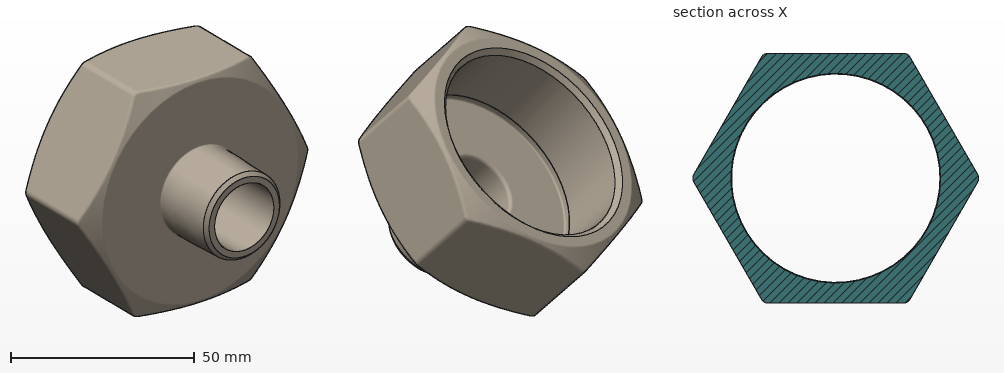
import cadquery as cq
import math

across_flats = 68.0
head_length = 31.0
corner_radius = 2.0
edge_radius = 1.0
bevel_angle = 30.0
bevel_face_diameter = 66.0

thread_bore_diameter = 56.66
relief_diameter = 56.86
mouth_diameter = 59.6
mouth_angle = 45.0
socket_depth = 24.75
relief_length = 2.0
floor_radius = 0.5
hole_diameter = 20.0
hole_edge_radius = 1.0

overall_length = 51.0
spigot_diameter = 26.75
root_radius = 0.4
taper_start = 36.5
taper_on_diameter = 1.0 / 16.0
tip_diameter = 23.75
tip_chamfer_length = 1.2


def revolve_about_x(profile):
    """Full revolution about X of a closed profile drawn as (x, radius)."""
    return profile.revolve(360, (0, 0, 0), (1, 0, 0))


def make_head():
    """Hexagonal prism, flats at top and bottom, with both ends bevelled."""
    corner_diameter = across_flats / math.cos(math.pi / 6)
    hexagon = cq.Workplane("YZ").polygon(6, corner_diameter).extrude(head_length)
    hexagon = hexagon.edges("|X").fillet(corner_radius)
    face_radius = bevel_face_diameter / 2
    rim_radius = corner_diameter / 2
    bevel_depth = (rim_radius - face_radius) * math.tan(math.radians(bevel_angle))
    bevel_profile = cq.Workplane("XY").polyline([
        (0, 0),
        (0, face_radius),
        (bevel_depth, rim_radius),
        (head_length - bevel_depth, rim_radius),
        (head_length, face_radius),
        (head_length, 0),
    ]).close()
    head = hexagon.intersect(revolve_about_x(bevel_profile))
    bevel_edges = head.edges("not |X")
    return bevel_edges.fillet(edge_radius)


def make_spigot():
    """Cylinder with a rounded root, then a pipe-thread taper and a chamfered tip."""
    spigot_radius = spigot_diameter / 2
    tip_start = overall_length - tip_chamfer_length
    taper_end_radius = spigot_radius - (tip_start - taper_start) * taper_on_diameter / 2
    profile = (
        cq.Workplane("XY")
        .moveTo(socket_depth, 0)
        .lineTo(socket_depth, spigot_radius + root_radius)
        .lineTo(head_length, spigot_radius + root_radius)
        .radiusArc((head_length + root_radius, spigot_radius), -root_radius)
        .lineTo(taper_start, spigot_radius)
        .lineTo(tip_start, taper_end_radius)
        .lineTo(overall_length, tip_diameter / 2)
        .lineTo(overall_length, 0)
        .close()
    )
    return revolve_about_x(profile)


def make_socket():
    """Cavity of the female socket: chamfered mouth, thread bore, undercut, rounded floor."""
    bore_radius = thread_bore_diameter / 2
    relief_radius = relief_diameter / 2
    mouth_depth = (mouth_diameter / 2 - bore_radius) / math.tan(math.radians(mouth_angle))
    relief_start = socket_depth - relief_length
    profile = (
        cq.Workplane("XY")
        .lineTo(0, mouth_diameter / 2)
        .lineTo(mouth_depth, bore_radius)
        .lineTo(relief_start, bore_radius)
        .lineTo(relief_start, relief_radius)
        .lineTo(socket_depth - floor_radius, relief_radius)
        .radiusArc((socket_depth, relief_radius - floor_radius), floor_radius)
        .lineTo(socket_depth, 0)
        .close()
    )
    return revolve_about_x(profile)


def make_through_hole():
    """Axial hole with a rounded entry at the socket floor."""
    hole_radius = hole_diameter / 2
    entry_radius = hole_radius + hole_edge_radius
    round_end = socket_depth + hole_edge_radius
    profile = (
        cq.Workplane("XY")
        .moveTo(socket_depth, 0)
        .lineTo(socket_depth, entry_radius)
        .radiusArc((round_end, hole_radius), -hole_edge_radius)
        .lineTo(overall_length, hole_radius)
        .lineTo(overall_length, 0)
        .close()
    )
    return revolve_about_x(profile)


result = make_head().union(make_spigot()).cut(make_socket()).cut(make_through_hole())